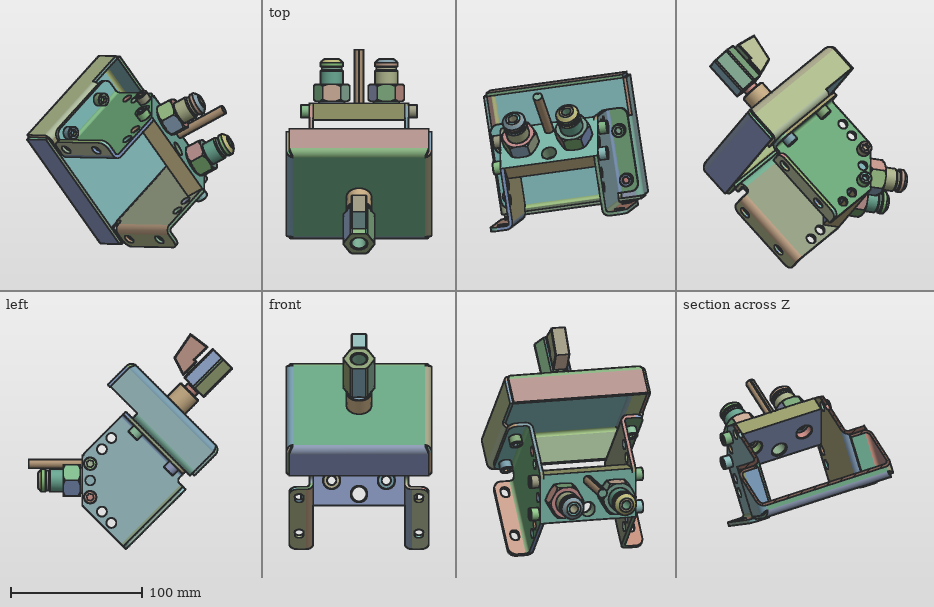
import cadquery as cq
import math

TILT_ANGLE = 45.0
VALVE_Y = -4.9

COVER_WIDTH = 111.0
COVER_DEPTH = 95.6
COVER_TOP = 44.0
COVER_SHEET = 2.5
COVER_BEND = 5.2
REAR_WALL_END = 18.3
FRONT_WALL_END = 16.0
LIP_REAR = 16.4
LIP_REACH = 16.7

MIDDLE_Z = -29.5
BRACKET_SHEET = 3.0
BRACKET_BEND = 5.4
PLATE_SIDE = 74.0
PLATE_INNER_X = 34.9
PLATE_CORNER_CUT = 27.0
PLATE_CORNER_RADIUS = 7.2
FLANGE_LENGTH = 64.3
FLANGE_TIP_X = 53.2
FLANGE_CORNER_RADIUS = 6.0
NOTCH_RADIUS = 3.0
PLATE_REAR_Y = 18.7
FLANGE_HOLE_X = 45.5
FLANGE_HOLE_FIRST = 16.7
FLANGE_HOLE_PITCH = 38.1
SLOT_LENGTH = 8.8
SLOT_WIDTH = 6.9
PLATE_HOLE_DIAMETER = 7.4
OPEN_HOLES = [(6.4, 52.0), (7.4, 41.0)]
CENTRE_HOLE = 17.8
PLATE_SCREW = (8.8, 26.9)

HEAD_DIAMETER = 9.7
HEAD_HEIGHT = 6.5
HEAD_CHAMFER = 0.3
SOCKET_FLATS = 4.9
SOCKET_DEPTH = 3.3

BAR_THICKNESS = 12.8
BAR_HEIGHT = 38.3
FITTING_X = 20.8
FITTING_BORE = 6.9
PORT_DIAMETER = 12.5
PORT_DEPTH = 6.5
PORT_CHAMFER = 0.5
CENTRE_PORT_DIAMETER = 11.1
CENTRE_PORT_CHAMFER = 0.8
CENTRE_PORT_DROP = 10.3
NUT_FLATS = 23.9
NUT_START = 1.5
NUT_LENGTH = 13.0
NUT_CHAMFER = 1.5
COLLAR_RADIUS = 9.8
TAIL_RADIUS = 8.7
TAIL_PROFILE = [
    (TAIL_RADIUS, 24.2),
    (7.7, 25.4),
    (7.7, 27.3),
    (TAIL_RADIUS, 28.2),
    (TAIL_RADIUS, 31.0),
    (6.2, 33.2),
    (5.4, 33.7),
]
ROD_DIAMETER = 6.9
ROD_LENGTH = 40.8
ROD_GROOVE_WIDTH = 0.7
ROD_GROOVE_DEPTH = 0.7
ROD_RISE = 12.6

STEM_DIAMETER = 19.2
STEM_HEIGHT = 14.7
STEM_CHAMFER = 0.5
NECK_DIAMETER = 10.8
NECK_CONE = 1.0
NECK_HEIGHT = 4.6
HEX_FLATS = 21.3
HEX_CORNERS = 23.5
HEX_LENGTH = 30.8
BORE_DIAMETER = 11.5
BORE_DEPTH = 19.6
BORE_CHAMFER = 0.8
WING_WIDTH = 11.5
WING_CHAMFER = 0.7
WING_FOOT = 0.7
WING_STEP = 15.2
WING_STEP_Y = 14.4
WING_OUTER_POINTS = [(14.2, 29.1), (30.6, 26.9), (26.5, 5.2)]
PIVOT_DIAMETER = 7.9
PIVOT_GAP = 1.6
PIVOT_HEIGHT = 8.2


DIAGONAL = math.sqrt(0.5)
PLATE_BOTTOM_Z = MIDDLE_Z / DIAGONAL - PLATE_REAR_Y
FLANGE_TOP = PLATE_BOTTOM_Z + PLATE_SIDE
BAR_REAR_Y = (PLATE_REAR_Y - PLATE_BOTTOM_Z - PLATE_CORNER_CUT) * DIAGONAL
PLATE_OUTER_X = PLATE_INNER_X + BRACKET_SHEET


def hexagon_corners(flats):
    """Diameter across the corners of a hexagon."""
    return flats / math.cos(math.radians(30))


def tilted(body):
    return body.rotate((0, 0, 0), (1, 0, 0), TILT_ANGLE)


def both_sides(body):
    """The body together with its mirror image across the middle plane X = 0."""
    return body.union(body.mirror("YZ"))


def folded_side(half_width, half_length, end_height):
    """Half of the top panel with one wall bent down on +X; the wall ends are cut back to open the corners."""
    tangent_x = half_width - COVER_BEND
    tangent_z = COVER_TOP - COVER_BEND
    inner_radius = COVER_BEND - COVER_SHEET
    section = (
        cq.Workplane("XZ", origin=(0, half_length, 0))
        .moveTo(0, COVER_TOP)
        .lineTo(tangent_x, COVER_TOP)
        .threePointArc(
            (tangent_x + COVER_BEND * DIAGONAL, tangent_z + COVER_BEND * DIAGONAL),
            (half_width, tangent_z),
        )
        .lineTo(half_width, end_height)
        .lineTo(half_width - COVER_SHEET, end_height)
        .lineTo(half_width - COVER_SHEET, tangent_z)
        .threePointArc(
            (tangent_x + inner_radius * DIAGONAL, tangent_z + inner_radius * DIAGONAL),
            (tangent_x, COVER_TOP - COVER_SHEET),
        )
        .lineTo(0, COVER_TOP - COVER_SHEET)
        .close()
        .extrude(2 * half_length)
    )
    panel_y = half_length - COVER_BEND
    wall_y = half_length - COVER_SHEET
    middle_y = (panel_y + wall_y) / 2
    middle_z = tangent_z + COVER_BEND * DIAGONAL
    outline = (
        cq.Workplane("YZ")
        .moveTo(-wall_y, 0)
        .lineTo(-wall_y, tangent_z)
        .threePointArc((-middle_y, middle_z), (-panel_y, COVER_TOP))
        .lineTo(panel_y, COVER_TOP)
        .threePointArc((middle_y, middle_z), (wall_y, tangent_z))
        .lineTo(wall_y, 0)
        .close()
        .extrude(half_width)
    )
    return section.intersect(outline)


def cover_lip(half_width, half_depth):
    """Bend and strip turned inwards under the +X wall; it rests on the bracket flange."""
    bend_z = FLANGE_TOP + COVER_BEND
    tangent_x = half_width - COVER_BEND
    inner_radius = COVER_BEND - COVER_SHEET
    return (
        cq.Workplane("XZ", origin=(0, LIP_REAR, 0))
        .moveTo(half_width, bend_z)
        .threePointArc(
            (tangent_x + COVER_BEND * DIAGONAL, bend_z - COVER_BEND * DIAGONAL),
            (tangent_x, FLANGE_TOP),
        )
        .lineTo(half_width - LIP_REACH, FLANGE_TOP)
        .lineTo(half_width - LIP_REACH, FLANGE_TOP + COVER_SHEET)
        .lineTo(tangent_x, FLANGE_TOP + COVER_SHEET)
        .threePointArc(
            (tangent_x + inner_radius * DIAGONAL, bend_z - inner_radius * DIAGONAL),
            (half_width - COVER_SHEET, bend_z),
        )
        .close()
        .extrude(LIP_REAR + half_depth - COVER_SHEET)
    )


def make_cover():
    half_width = COVER_WIDTH / 2
    half_depth = COVER_DEPTH / 2
    side = folded_side(half_width, half_depth, FLANGE_TOP + COVER_BEND)
    front = folded_side(half_depth, half_width, FRONT_WALL_END).rotate((0, 0, 0), (0, 0, 1), -90)
    rear = folded_side(half_depth, half_width, REAR_WALL_END).rotate((0, 0, 0), (0, 0, 1), 90)
    sides = both_sides(side.union(cover_lip(half_width, half_depth)))
    return tilted(sides.union(front).union(rear).translate((0, VALVE_Y, 0)))


def make_stem():
    stem = cq.Workplane("XY").circle(STEM_DIAMETER / 2).extrude(STEM_HEIGHT)
    stem = stem.faces(">Z").chamfer(STEM_CHAMFER)
    neck = cq.Workplane("XY", origin=(0, 0, STEM_HEIGHT)).circle(NECK_DIAMETER / 2).extrude(NECK_HEIGHT)
    cone_base = STEM_HEIGHT + NECK_HEIGHT - NECK_CONE
    cone = (
        cq.Workplane("XY", origin=(0, 0, cone_base))
        .circle(NECK_DIAMETER / 2)
        .workplane(offset=NECK_CONE)
        .circle(NECK_DIAMETER / 2 + NECK_CONE)
        .loft()
    )
    return stem.union(neck).union(cone)


def make_outlet():
    """Hexagon with blunted corners and a chamfered bore from the top; two corners lie on the X axis."""
    outlet = cq.Workplane("XY").polygon(6, hexagon_corners(HEX_FLATS)).extrude(HEX_LENGTH)
    blunting = (
        cq.Workplane("XY")
        .transformed(rotate=(0, 0, 30))
        .polygon(6, hexagon_corners(HEX_CORNERS))
        .extrude(HEX_LENGTH)
    )
    bore = (
        cq.Workplane("XY", origin=(0, 0, HEX_LENGTH - BORE_DEPTH))
        .circle(BORE_DIAMETER / 2)
        .extrude(BORE_DEPTH)
    )
    bore_mouth = (
        cq.Workplane("XY", origin=(0, 0, HEX_LENGTH - BORE_CHAMFER))
        .circle(BORE_DIAMETER / 2)
        .workplane(offset=BORE_CHAMFER)
        .circle(BORE_DIAMETER / 2 + BORE_CHAMFER)
        .loft()
    )
    return outlet.intersect(blunting).cut(bore).cut(bore_mouth)


def make_wing():
    """Flat wing behind the hexagon with its pivot; heights count from the lower end of the hexagon."""
    hex_face = HEX_FLATS / 2
    inner = hex_face + PIVOT_GAP
    outline = [(inner, WING_FOOT), (inner, WING_STEP), (WING_STEP_Y, WING_STEP)] + WING_OUTER_POINTS
    wing = cq.Workplane("YZ", origin=(-WING_WIDTH / 2, 0, 0)).polyline(outline).close().extrude(WING_WIDTH)
    wing = wing.faces("<X or >X").chamfer(WING_CHAMFER)
    pivot = (
        cq.Workplane("XZ", origin=(0, inner, PIVOT_HEIGHT))
        .circle(PIVOT_DIAMETER / 2)
        .extrude(PIVOT_GAP)
    )
    return wing.union(pivot)


def make_valve():
    head_z = STEM_HEIGHT + NECK_HEIGHT
    head = make_outlet().union(make_wing()).translate((0, 0, head_z))
    return tilted(make_stem().union(head).translate((0, VALVE_Y, COVER_TOP)))


def socket_screw_head():
    """Screw head standing on the XY plane."""
    head = cq.Workplane("XY").circle(HEAD_DIAMETER / 2).extrude(HEAD_HEIGHT)
    head = head.faces(">Z").edges().chamfer(HEAD_CHAMFER)
    socket = (
        cq.Workplane("XY", origin=(0, 0, HEAD_HEIGHT - SOCKET_DEPTH))
        .polygon(6, hexagon_corners(SOCKET_FLATS))
        .extrude(SOCKET_DEPTH)
    )
    return head.cut(socket)


def swapped(body):
    """Mirror image in the plane through the X axis that swaps the two free edges of the plate."""
    return body.mirror(cq.Vector(0, DIAGONAL, DIAGONAL), (0, 0, 0))


def plate_web():
    """Flat part of the +X plate; its free edges lie on the Y and Z axes, meeting at the origin."""
    bend_line = PLATE_SIDE - BRACKET_BEND
    arc_end = FLANGE_LENGTH + NOTCH_RADIUS
    arc_mid = arc_end - NOTCH_RADIUS * DIAGONAL
    web = (
        cq.Workplane("YZ", origin=(PLATE_INNER_X, 0, 0))
        .moveTo(0, PLATE_CORNER_CUT)
        .lineTo(-PLATE_CORNER_CUT, 0)
        .lineTo(-bend_line, 0)
        .lineTo(-bend_line, FLANGE_LENGTH)
        .lineTo(-arc_end, FLANGE_LENGTH)
        .threePointArc((-arc_mid, arc_mid), (-FLANGE_LENGTH, arc_end))
        .lineTo(-FLANGE_LENGTH, bend_line)
        .lineTo(0, bend_line)
        .close()
        .extrude(BRACKET_SHEET)
        .edges(cq.selectors.NearestToPointSelector((PLATE_INNER_X, 0, PLATE_CORNER_CUT)))
        .fillet(PLATE_CORNER_RADIUS)
    )
    spots = OPEN_HOLES + [(away, along) for along, away in OPEN_HOLES] + [(CENTRE_HOLE, CENTRE_HOLE)]
    holes = (
        cq.Workplane("YZ", origin=(PLATE_INNER_X, 0, 0))
        .pushPoints([(-along, up) for along, up in spots])
        .circle(PLATE_HOLE_DIAMETER / 2)
        .extrude(BRACKET_SHEET)
    )
    return web.cut(holes)


def plate_flange():
    """Bend and flange turned outwards along the top of the +X plate."""
    bend_x = PLATE_INNER_X + BRACKET_BEND
    bend_z = PLATE_SIDE - BRACKET_BEND
    inner_radius = BRACKET_BEND - BRACKET_SHEET
    return (
        cq.Workplane("XZ")
        .moveTo(PLATE_INNER_X, bend_z)
        .threePointArc(
            (bend_x - BRACKET_BEND * DIAGONAL, bend_z + BRACKET_BEND * DIAGONAL),
            (bend_x, PLATE_SIDE),
        )
        .lineTo(FLANGE_TIP_X, PLATE_SIDE)
        .lineTo(FLANGE_TIP_X, PLATE_SIDE - BRACKET_SHEET)
        .lineTo(bend_x, PLATE_SIDE - BRACKET_SHEET)
        .threePointArc(
            (bend_x - inner_radius * DIAGONAL, bend_z + inner_radius * DIAGONAL),
            (PLATE_OUTER_X, bend_z),
        )
        .close()
        .extrude(FLANGE_LENGTH)
        .edges(">X and |Z")
        .fillet(FLANGE_CORNER_RADIUS)
    )


def flange_spots():
    """Places along the flange, in X and Y, of its two fastening points."""
    return [(FLANGE_HOLE_X, -FLANGE_HOLE_FIRST - step * FLANGE_HOLE_PITCH) for step in range(2)]


def make_side_plate():
    """The +X plate with the screws in its upper flange and in its web, in its tilted place."""
    slots = (
        cq.Workplane("XY", origin=(0, 0, PLATE_SIDE - BRACKET_SHEET))
        .pushPoints(flange_spots())
        .slot2D(SLOT_LENGTH, SLOT_WIDTH, 90)
        .extrude(BRACKET_SHEET)
    )
    upper_flange = plate_flange()
    front_flange = swapped(plate_flange().cut(slots))
    plate = plate_web().union(upper_flange).union(front_flange)
    flange_screw = socket_screw_head().rotate((0, 0, 0), (1, 0, 0), 180)
    for x, y in flange_spots():
        plate = plate.union(flange_screw.translate((x, y, PLATE_SIDE - BRACKET_SHEET)))
    web_screw = socket_screw_head().rotate((0, 0, 0), (0, 1, 0), 90)
    for along, up in [PLATE_SCREW, PLATE_SCREW[::-1]]:
        plate = plate.union(web_screw.translate((PLATE_OUTER_X, -along, up)))
    return tilted(plate.translate((0, PLATE_REAR_Y, PLATE_BOTTOM_Z)))


def rear_plane(x, rise):
    """Work plane on the rear face of the bar, facing +Y."""
    return cq.Workplane("XZ", origin=(x, BAR_REAR_Y, MIDDLE_Z + rise)).transformed(rotate=(180, 0, 0))


def front_port(x, rise, diameter, depth, chamfer):
    """Cutter for a chamfered hole in the front face of the bar."""
    radius = diameter / 2
    profile = [
        (0, 0),
        (radius + chamfer, 0),
        (radius, chamfer),
        (radius, depth),
        (0, depth),
    ]
    front_y = BAR_REAR_Y - BAR_THICKNESS
    return (
        cq.Workplane("XY")
        .polyline(profile)
        .close()
        .revolve(360, (0, 0), (0, 1))
        .translate((x, front_y, MIDDLE_Z + rise))
    )


def make_bar():
    bar = cq.Workplane("XY").box(2 * PLATE_INNER_X, BAR_THICKNESS, BAR_HEIGHT)
    bar = bar.translate((0, BAR_REAR_Y - BAR_THICKNESS / 2, MIDDLE_Z))
    return bar.cut(front_port(0, -CENTRE_PORT_DROP, CENTRE_PORT_DIAMETER, BAR_THICKNESS, CENTRE_PORT_CHAMFER))


def make_fitting():
    """Collar, nut and grooved tail along +Y from the origin."""
    nut_end = NUT_START + NUT_LENGTH
    turned = (
        cq.Workplane("XY")
        .moveTo(0, 0)
        .lineTo(COLLAR_RADIUS, 0)
        .lineTo(COLLAR_RADIUS, NUT_START)
        .lineTo(TAIL_RADIUS, NUT_START)
    )
    for radius, y in TAIL_PROFILE:
        turned = turned.lineTo(radius, y)
    turned = turned.lineTo(0, TAIL_PROFILE[-1][1]).close().revolve(360, (0, 0), (0, 1))
    corner = hexagon_corners(NUT_FLATS) / 2
    nut = (
        cq.Workplane("XZ", origin=(0, nut_end, 0))
        .polygon(6, 2 * corner)
        .extrude(NUT_LENGTH)
    )
    rounding = (
        cq.Workplane("XY")
        .polyline([
            (0, NUT_START),
            (corner - NUT_CHAMFER, NUT_START),
            (corner, NUT_START + NUT_CHAMFER),
            (corner, nut_end - NUT_CHAMFER),
            (corner - NUT_CHAMFER, nut_end),
            (0, nut_end),
        ])
        .close()
        .revolve(360, (0, 0), (0, 1))
    )
    return turned.union(nut.intersect(rounding))


def make_rod():
    """Grooved rod standing on the rear face of the bar."""
    rod = rear_plane(0, ROD_RISE).circle(ROD_DIAMETER / 2).extrude(ROD_LENGTH)
    groove_rise = ROD_RISE + ROD_DIAMETER / 2
    groove = rear_plane(0, groove_rise).rect(ROD_GROOVE_WIDTH, 2 * ROD_GROOVE_DEPTH).extrude(ROD_LENGTH)
    return rod.cut(groove)


def make_manifold():
    """Bar between the side plates with two fittings and a rod on its rear face."""
    manifold = make_bar()
    fitting_end = TAIL_PROFILE[-1][1]
    for x in (-FITTING_X, FITTING_X):
        bore = (
            rear_plane(x, 0)
            .workplane(offset=-BAR_THICKNESS)
            .circle(FITTING_BORE / 2)
            .extrude(BAR_THICKNESS + fitting_end)
        )
        fitting = make_fitting().translate((x, BAR_REAR_Y, MIDDLE_Z))
        port = front_port(x, 0, PORT_DIAMETER, PORT_DEPTH, PORT_CHAMFER)
        manifold = manifold.union(fitting).cut(bore).cut(port)
    return manifold.union(make_rod())


def make_bracket():
    return both_sides(make_side_plate()).union(make_manifold())


cover = make_cover()
valve = make_valve()
bracket = make_bracket()
result = cq.Compound.makeCompound([cover.val(), valve.val(), bracket.val()])